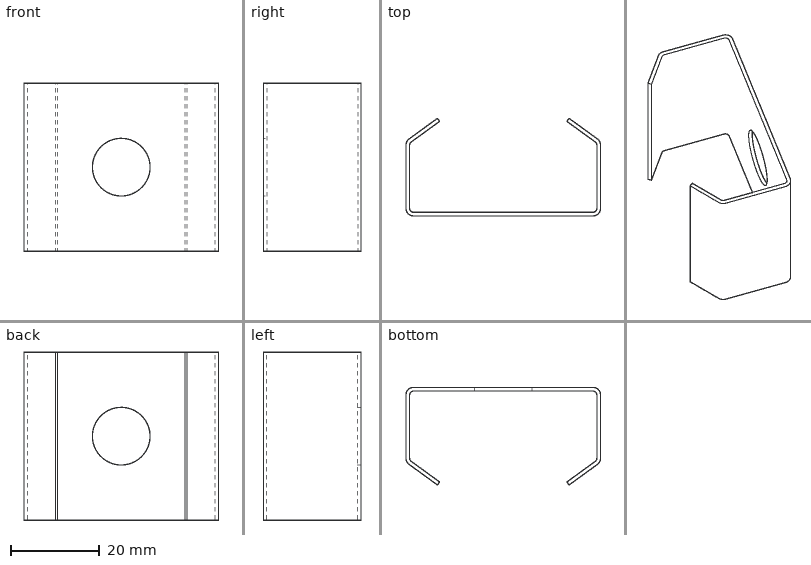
import cadquery as cq
import math

width = 44.0
depth = 22.1
height = 38.0

thickness = 0.9
outer_radius = 1.75
inner_radius = outer_radius - thickness

lip_opening = 29.75
lip_angle = 36.0

hole_diameter = 13.0


def channel_outline(inset, bend_radius):
    """Closed solid profile of the channel, offset inward from its outer faces."""
    half_width = width / 2 - inset
    back = -depth / 2 + inset
    slope = math.tan(math.radians(lip_angle))
    tip_x = lip_opening / 2
    tip_y = depth / 2 - inset / math.cos(math.radians(lip_angle))
    apex_y = tip_y + tip_x * slope
    shoulder_y = apex_y - half_width * slope
    return (
        cq.Workplane("XY")
        .polyline([
            (-half_width, back),
            (half_width, back),
            (half_width, shoulder_y),
            (0, apex_y),
            (-half_width, shoulder_y),
        ])
        .close()
        .extrude(height)
        .edges("|Z and (<X or >X)")
        .fillet(bend_radius)
    )


def lip_gap():
    """Tapered opening between the lips, with sides square to the lip faces."""
    end_slope = math.tan(math.radians(90 - lip_angle))
    tip_x = lip_opening / 2
    tip_y = depth / 2
    bottom_x = tip_x - tip_y / end_slope
    top_y = depth
    top_x = tip_x + (top_y - tip_y) / end_slope
    return (
        cq.Workplane("XY")
        .polyline([(-bottom_x, 0), (bottom_x, 0), (top_x, top_y), (-top_x, top_y)])
        .close()
        .extrude(height)
    )


shell = channel_outline(0, outer_radius).cut(channel_outline(thickness, inner_radius))
clip = shell.cut(lip_gap())

hole = (
    cq.Workplane("XZ", origin=(0, 0, height / 2))
    .circle(hole_diameter / 2)
    .extrude(depth)
)

result = clip.cut(hole)